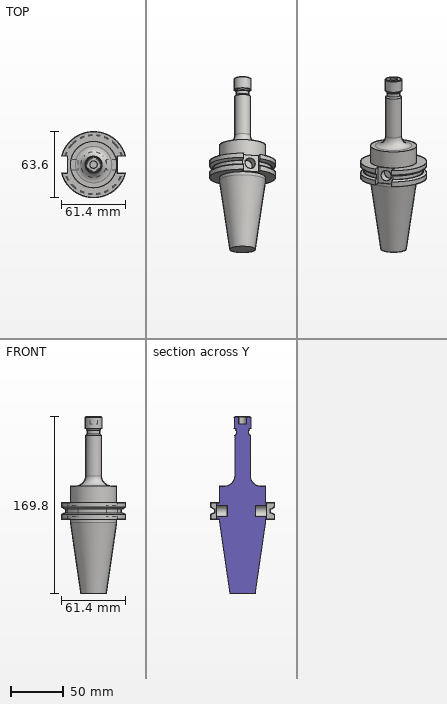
import cadquery as cq
import math

total_height = 169.8
taper_top_z = 68.3
flange_bottom_z = 71.3
lower_rim_top_z = 76.1
groove_bottom_z = 77.5
groove_top_z = 81.0
upper_rim_bottom_z = 83.0
flange_top_z = 87.3
shoulder_top_z = 103.3
neck_bottom_z = 153.4
neck_top_z = 156.5
collar_bottom_z = 157.0
head_bottom_z = 158.5

shoulder_radius = 22.3
taper_ratio = 7 / 24
taper_tip_radius = shoulder_radius - taper_top_z * taper_ratio / 2
flange_radius = 31.8
groove_radius = 28.0
groove_lip_radius = 28.9
stem_radius = 7.6
stem_fillet = 9.9
neck_radius = 6.1
collar_radius = 6.6
head_radius = 8.2
head_chamfer_width = 1.0
head_chamfer_height = 0.7

slot_width = 16.5
left_slot_floor = 25.1
right_slot_floor = 22.8
side_hole_diameter = 10.2
side_hole_depth = 10.2
side_hole_z = (flange_bottom_z + flange_top_z) / 2
socket_diameter = 7.1
socket_depth = 6.8


def turned_body():
    """Revolve the half profile of taper, flange, shoulder, stem and head."""
    arc_offset = stem_fillet * (1 - math.sqrt(0.5))
    stem_chamfer = stem_radius - neck_radius
    return (
        cq.Workplane("XZ")
        .lineTo(taper_tip_radius, 0)
        .lineTo(shoulder_radius, taper_top_z)
        .lineTo(shoulder_radius, flange_bottom_z)
        .lineTo(flange_radius, flange_bottom_z)
        .lineTo(flange_radius, lower_rim_top_z)
        .lineTo(groove_lip_radius, groove_bottom_z)
        .lineTo(groove_radius, groove_bottom_z)
        .lineTo(groove_radius, groove_top_z)
        .lineTo(groove_lip_radius, groove_top_z)
        .lineTo(flange_radius, upper_rim_bottom_z)
        .lineTo(flange_radius, flange_top_z)
        .lineTo(shoulder_radius, flange_top_z)
        .lineTo(shoulder_radius, shoulder_top_z)
        .lineTo(stem_radius + stem_fillet, shoulder_top_z)
        .threePointArc(
            (stem_radius + arc_offset, shoulder_top_z + arc_offset),
            (stem_radius, shoulder_top_z + stem_fillet),
        )
        .lineTo(stem_radius, neck_bottom_z - stem_chamfer)
        .lineTo(neck_radius, neck_bottom_z)
        .lineTo(neck_radius, neck_top_z)
        .lineTo(collar_radius, collar_bottom_z)
        .lineTo(collar_radius, head_bottom_z)
        .lineTo(head_radius, head_bottom_z)
        .lineTo(head_radius, total_height - head_chamfer_height)
        .lineTo(head_radius - head_chamfer_width, total_height)
        .lineTo(0, total_height)
        .close()
        .revolve(360, (0, 0), (0, 1))
    )


def drive_slot(side, floor):
    """Slot through the flange on the -X (side = -1) or +X (side = 1) side, with its radial hole."""
    slot = (
        cq.Workplane("XY", origin=(side * (floor + flange_radius / 2), 0, flange_bottom_z))
        .box(flange_radius, slot_width, flange_top_z - flange_bottom_z, centered=(True, True, False))
    )
    hole = (
        cq.Workplane("YZ", origin=(side * floor, 0, side_hole_z))
        .circle(side_hole_diameter / 2)
        .extrude(-side * side_hole_depth)
    )
    return slot.union(hole)


def head_socket():
    """Round blind hole in the top of the head."""
    return (
        cq.Workplane("XY", origin=(0, 0, total_height))
        .circle(socket_diameter / 2)
        .extrude(-socket_depth)
    )


result = (
    turned_body()
    .cut(drive_slot(-1, left_slot_floor))
    .cut(drive_slot(1, right_slot_floor))
    .cut(head_socket())
)